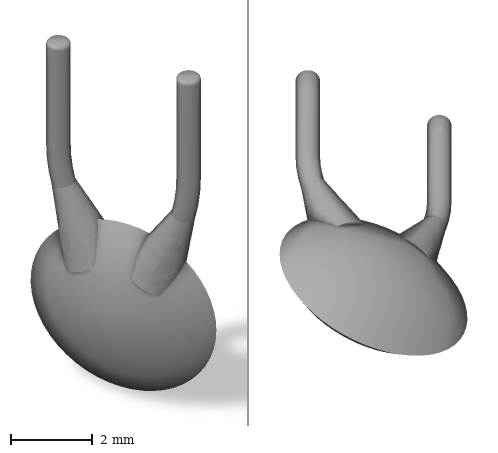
import cadquery as cq
import math

lens_radius = 2.5
lens_thickness = 1.95

lead_radius = 0.3
lead_pitch = 3.5
lead_top_z = 7.5
lead_tip_fillet = 0.1

bend_top_z = 4.36
bend_radius = 4.5
bend_angle = 14.2

root_radius = 0.75
root_center_x = 0.83
root_center_z = 1.25
root_tilt = 26.0


def make_lens():
    half_thickness = lens_thickness / 2
    cap_radius = (lens_radius**2 + half_thickness**2) / lens_thickness
    return (
        cq.Workplane("XY")
        .moveTo(0, -half_thickness)
        .radiusArc((lens_radius, 0), -cap_radius)
        .radiusArc((0, half_thickness), -cap_radius)
        .close()
        .revolve(360, (0, 0, 0), (0, 1, 0))
    )


def section_plane(x, z, tilt):
    """Plane across a lead on the +X side, its normal leaning outwards by tilt degrees."""
    lean = math.radians(tilt)
    return cq.Plane(origin=(x, 0, z), xDir=(0, 1, 0), normal=(math.sin(lean), 0, math.cos(lean)))


def make_lead():
    lead_x = lead_pitch / 2
    lean = math.radians(bend_angle)
    bend_end_x = lead_x - bend_radius * (1 - math.cos(lean))
    bend_end_z = bend_top_z - bend_radius * math.sin(lean)

    straight = (
        cq.Workplane("XY", origin=(lead_x, 0, bend_top_z))
        .circle(lead_radius)
        .extrude(lead_top_z - bend_top_z)
        .faces(">Z")
        .fillet(lead_tip_fillet)
    )
    bend = (
        cq.Workplane("XY", origin=(lead_x, 0, bend_top_z))
        .circle(lead_radius)
        .revolve(bend_angle, (-bend_radius, 0, 0), (-bend_radius, 1, 0))
    )
    bend_end = section_plane(bend_end_x, bend_end_z, bend_angle)
    root_end = section_plane(root_center_x, root_center_z, root_tilt)
    root = cq.Workplane(
        cq.Solid.makeLoft(
            [
                cq.Workplane(bend_end).circle(lead_radius).wires().val(),
                cq.Workplane(root_end).circle(root_radius).wires().val(),
            ],
            True,
        )
    )
    return straight.union(bend).union(root)


right_lead = make_lead()
left_lead = right_lead.mirror("YZ")
result = make_lens().union(right_lead).union(left_lead)